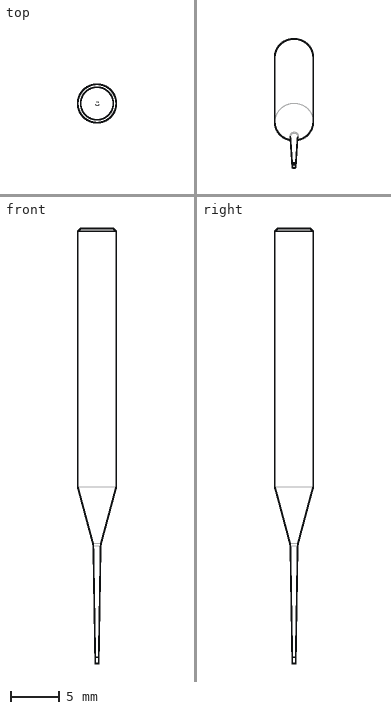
import cadquery as cq

total_length = 45.0
shank_radius = 2.002
shank_chamfer = 0.3

tip_length = 0.68
neck_top = 12.2
collar_top = 12.45
shank_bottom = 18.25

tip_radius = 0.2
neck_top_radius = 0.39
collar_radius = 0.44


def make_cutting_tip():
    """Short cylindrical cutting tip at the bottom end."""
    return cq.Workplane("XY").circle(tip_radius).extrude(tip_length)


def make_holder():
    """Chamfered shank, cone, short collar and slightly tapered neck, revolved about Z."""
    return (
        cq.Workplane("XZ")
        .moveTo(0, tip_length)
        .lineTo(tip_radius, tip_length)
        .lineTo(neck_top_radius, neck_top)
        .lineTo(collar_radius, collar_top)
        .lineTo(shank_radius, shank_bottom)
        .lineTo(shank_radius, total_length - shank_chamfer)
        .lineTo(shank_radius - shank_chamfer, total_length)
        .lineTo(0, total_length)
        .close()
        .revolve(360, (0, 0, 0), (0, 1, 0))
    )


cutting_tip = make_cutting_tip()
holder = make_holder()

result = cq.Compound.makeCompound([cutting_tip.val(), holder.val()])